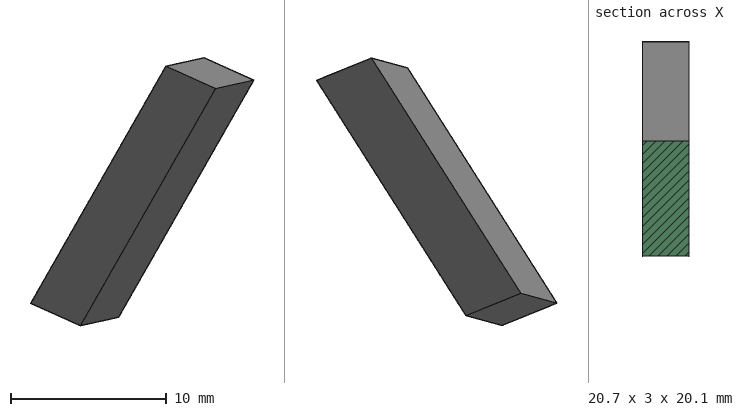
import cadquery as cq

length = 20.7
thickness = 3.0
height = 20.15
end_width = 5.57

lean = length - end_width

outline = [
    (0, 0),
    (end_width, 0),
    (length, height),
    (lean, height),
]

result = (
    cq.Workplane("XZ")
    .polyline(outline)
    .close()
    .extrude(thickness / 2, both=True)
)